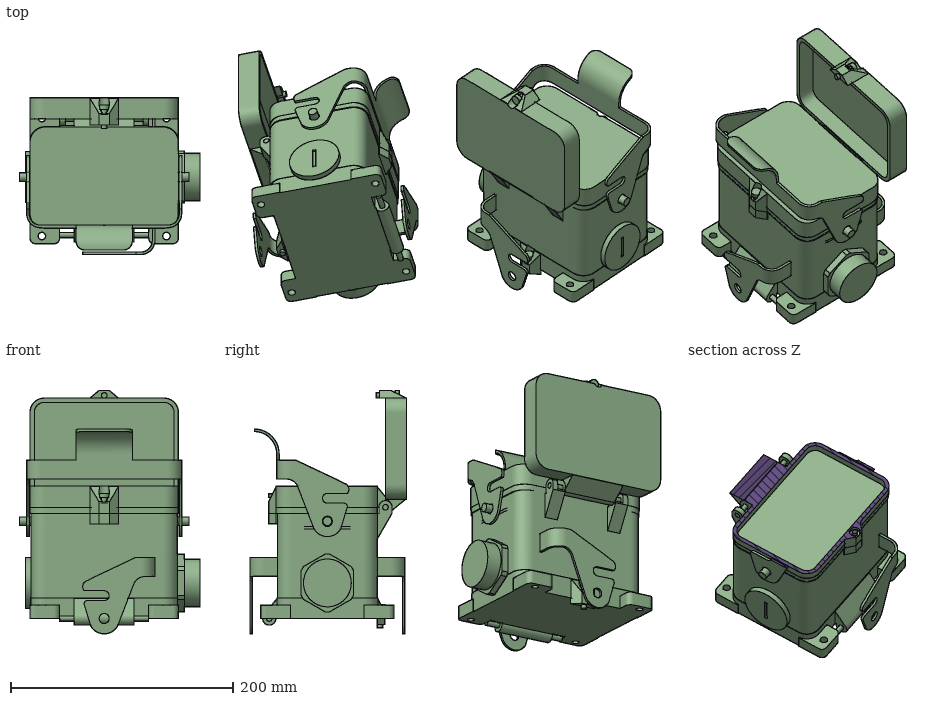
import cadquery as cq
import math

RIM_Z = 100.0

LID_WIDTH = 133.6
LID_FRONT_Y = -46.3
LID_REAR_Y = 44.8
LID_HEIGHT = 19.1
LID_WALL = 4.0
CORNER_RADIUS = 13.0

WALL_INSET = 1.0
COLLAR_HEIGHT = 5.4
SKIRT_HEIGHT = 18.6
SKIRT_STEP = 0.3
HOUSING_FRONT_Y = LID_FRONT_Y + WALL_INSET
HOUSING_REAR_Y = LID_REAR_Y
HOUSING_WIDTH = LID_WIDTH - 2 * WALL_INSET
MIDDLE_Y = (HOUSING_FRONT_Y + HOUSING_REAR_Y) / 2

FOOT_INNER_X = 40.0
FOOT_OUTER_X = LID_WIDTH / 2
FOOT_INNER_Y = 33.0
FOOT_OUTER_Y = 60.0
FOOT_HEIGHT = 12.0
FOOT_RADIUS = 5.0
FOOT_HOLE_DIAMETER = 6.5
FOOT_HOLE_X = 56.0
FOOT_HOLE_Y = 53.0

HINGE_OFFSET = 7.2
HINGE_HALF_WIDTH = 27.0
BARREL_RADIUS = 6.0
RAMP_HEIGHT = 18.2
PIN_DIAMETER = 5.0
PIN_HALF_LENGTH = FOOT_INNER_X
PIN_HOLE_DIAMETER = 5.1
LUG_STEP_X = 35.0
LUG_LEDGE_Z = 96.0
LUG_TOE_Z = 71.7

LOCK_BASE_HALF_WIDTH = 12.8
LOCK_TIP_HALF_WIDTH = 4.7
LOCK_DEPTH = 6.75
LOCK_SLOPE_TOP = 18.6
LOCK_SLOPE_BOTTOM = 5.0
LOCK_SCREW_OFFSET = 2.25
LOCK_BORE_DIAMETER = 9.2
LOCK_BORE_FLOOR = 4.0
SCREW_HEAD_DIAMETER = 9.0
SCREW_HEAD_BOTTOM = 8.6
SCREW_HEAD_TOP = 12.4
SCREW_DIAMETER = 5.0
SCREW_TIP = 3.0
SCREW_HOLE_DIAMETER = 5.1
LOCK_SEAT_BOTTOM_Z = 85.0

LEVER_HALF_SPAN = 69.75
LEVER_THICKNESS = 2.4
LEVER_BAR_REACH = 45.65
LEVER_BAR_BOTTOM = 37.8
LEVER_BAR_TOP = 55.0
LEVER_BEND_RADIUS = 12.8
LEVER_END_RADIUS = 13.84
LEVER_HOLE_DIAMETER = 9.0
LEVER_SLOT_WIDTH = 8.8
LEVER_SLOT_CENTER = 20.6
LEVER_PIVOT_Z = 87.5
PIVOT_DIAMETER = 8.0
PIVOT_END_X = 76.25
HANDLE_HALF_WIDTH = 25.3
HANDLE_CURL_START = 60.5
HANDLE_CURL_RADIUS = 22.4
HANDLE_CORNER_RADIUS = 8.0

ENTRY_Z = 32.0
PLUG_DIAMETER = 46.0
PLUG_THICKNESS = 5.0
PLUG_SLOT_LENGTH = 21.5
PLUG_SLOT_WIDTH = 2.8
PLUG_SLOT_DEPTH = 2.0
GLAND_END_X = 86.25
GLAND_DIAMETER = 43.0
NUT_ACROSS_FLATS = 47.0
NUT_ROUND_DIAMETER = 52.0
NUT_THICKNESS = 6.3


def box(x0, x1, y0, y1, z0, z1):
    return cq.Workplane("XY").box(x1 - x0, y1 - y0, z1 - z0, centered=False).translate((x0, y0, z0))


def rounded_block(width, front_y, rear_y, z0, z1, radius):
    return box(-width / 2, width / 2, front_y, rear_y, z0, z1).edges("|Z").fillet(radius)


def upright_cylinder(diameter, x, y, z0, z1):
    return cq.Workplane("XY", origin=(x, y, z0)).circle(diameter / 2).extrude(z1 - z0)


def cross_cylinder(diameter, x0, x1, y, z):
    return cq.Workplane("YZ", origin=(x0, y, z)).circle(diameter / 2).extrude(x1 - x0)


def hinge(wall_y):
    """Hinge behind a wall that faces +Y, with its axis in the plane Z = 0."""
    axis_y = wall_y + HINGE_OFFSET
    ramp_distance = math.hypot(HINGE_OFFSET, RAMP_HEIGHT)
    tangent_angle = math.atan2(RAMP_HEIGHT, -HINGE_OFFSET) - math.acos(BARREL_RADIUS / ramp_distance)
    ramp = (
        cq.Workplane("YZ", origin=(-HINGE_HALF_WIDTH, 0, 0))
        .moveTo(wall_y, 0)
        .lineTo(wall_y, RAMP_HEIGHT)
        .lineTo(
            axis_y + BARREL_RADIUS * math.cos(tangent_angle),
            BARREL_RADIUS * math.sin(tangent_angle),
        )
        .lineTo(axis_y, 0)
        .close()
        .extrude(2 * HINGE_HALF_WIDTH)
    )
    barrel = cross_cylinder(2 * BARREL_RADIUS, -HINGE_HALF_WIDTH, HINGE_HALF_WIDTH, axis_y, 0)
    pin = cross_cylinder(PIN_DIAMETER, -PIN_HALF_LENGTH, PIN_HALF_LENGTH, axis_y, 0)
    return ramp.union(barrel).union(pin)


def lock_prism(wall_y, root, z0, z1):
    """Tapered block on a wall that faces -Y, let into the wall by `root`."""
    return (
        cq.Workplane("XY", origin=(0, 0, z0))
        .polyline([
            (-LOCK_BASE_HALF_WIDTH, wall_y + root),
            (-LOCK_BASE_HALF_WIDTH, wall_y),
            (-LOCK_TIP_HALF_WIDTH, wall_y - LOCK_DEPTH),
            (LOCK_TIP_HALF_WIDTH, wall_y - LOCK_DEPTH),
            (LOCK_BASE_HALF_WIDTH, wall_y),
            (LOCK_BASE_HALF_WIDTH, wall_y + root),
        ])
        .close()
        .extrude(z1 - z0)
    )


def add_lock(body, wall_y):
    """Adds a lock block and its screw to a wall that faces -Y and stands on Z = 0."""
    side = (
        cq.Workplane("YZ", origin=(-LOCK_BASE_HALF_WIDTH, 0, 0))
        .polyline([
            (wall_y, -COLLAR_HEIGHT),
            (wall_y, LOCK_SLOPE_TOP),
            (wall_y - LOCK_DEPTH, LOCK_SLOPE_BOTTOM),
            (wall_y - LOCK_DEPTH, -COLLAR_HEIGHT),
        ])
        .close()
        .extrude(2 * LOCK_BASE_HALF_WIDTH)
    )
    block = lock_prism(wall_y, WALL_INSET, -COLLAR_HEIGHT, LOCK_SLOPE_TOP).intersect(side)
    screw_y = wall_y - LOCK_SCREW_OFFSET
    bore = upright_cylinder(LOCK_BORE_DIAMETER, 0, screw_y, LOCK_BORE_FLOOR, LID_HEIGHT)
    shank = upright_cylinder(SCREW_DIAMETER, 0, screw_y, -COLLAR_HEIGHT - SCREW_TIP, SCREW_HEAD_TOP)
    head = upright_cylinder(SCREW_HEAD_DIAMETER, 0, screw_y, SCREW_HEAD_BOTTOM, SCREW_HEAD_TOP)
    return body.union(block).cut(bore).union(shank).union(head)


def make_lid():
    """Closed lid with its rim on Z = 0, hinge at the rear and lock at the front."""
    shell = rounded_block(LID_WIDTH, LID_FRONT_Y, LID_REAR_Y, 0, LID_HEIGHT, CORNER_RADIUS)
    cavity = rounded_block(
        LID_WIDTH - 2 * LID_WALL, LID_FRONT_Y + LID_WALL, LID_REAR_Y - LID_WALL,
        0, LID_HEIGHT - LID_WALL, CORNER_RADIUS - LID_WALL,
    )
    return add_lock(shell.cut(cavity).union(hinge(LID_REAR_Y)), LID_FRONT_Y)


def lever_leg():
    """Side plate with its pivot at the origin; +X points to the hook, +Y points up."""
    slot_low = LEVER_SLOT_CENTER - LEVER_SLOT_WIDTH / 2
    slot_high = LEVER_SLOT_CENTER + LEVER_SLOT_WIDTH / 2
    slot_end = LEVER_SLOT_WIDTH / 2
    foot_x = 12.0
    foot_y = -math.sqrt(LEVER_END_RADIUS ** 2 - foot_x ** 2)
    return (
        cq.Workplane("XY")
        .moveTo(foot_x, foot_y)
        .lineTo(17.6, 11.7)
        .threePointArc((17.4, 15.0), (14.8, slot_low))
        .lineTo(0, slot_low)
        .threePointArc((-slot_end, LEVER_SLOT_CENTER), (0, slot_high))
        .lineTo(18.0, slot_high)
        .threePointArc((19.3, 28.0), (14.8, 34.2))
        .lineTo(8.8, 37.4)
        .lineTo(-28.5, LEVER_BAR_TOP)
        .lineTo(-LEVER_BAR_REACH, LEVER_BAR_TOP)
        .lineTo(-LEVER_BAR_REACH, LEVER_BAR_BOTTOM)
        .lineTo(-36.4, LEVER_BAR_BOTTOM)
        .threePointArc((-30.7, 36.0), (-26.9, 31.9))
        .lineTo(-foot_x, foot_y)
        .threePointArc((0, -LEVER_END_RADIUS), (foot_x, foot_y))
        .close()
        .moveTo(0, 0)
        .circle(LEVER_HOLE_DIAMETER / 2)
    )


def lever_handle():
    """Curled grip that rises from the cross bar and turns outward, towards -Y."""
    inner_y = -LEVER_BAR_REACH + LEVER_THICKNESS
    curl_y = inner_y - HANDLE_CURL_RADIUS
    inner_radius = HANDLE_CURL_RADIUS - LEVER_THICKNESS
    diagonal = math.sqrt(0.5)
    grip = (
        cq.Workplane("YZ", origin=(-HANDLE_HALF_WIDTH, 0, 0))
        .moveTo(inner_y, LEVER_BAR_BOTTOM)
        .lineTo(inner_y, HANDLE_CURL_START)
        .threePointArc(
            (curl_y + HANDLE_CURL_RADIUS * diagonal, HANDLE_CURL_START + HANDLE_CURL_RADIUS * diagonal),
            (curl_y, HANDLE_CURL_START + HANDLE_CURL_RADIUS),
        )
        .lineTo(curl_y, HANDLE_CURL_START + inner_radius)
        .threePointArc(
            (curl_y + inner_radius * diagonal, HANDLE_CURL_START + inner_radius * diagonal),
            (-LEVER_BAR_REACH, HANDLE_CURL_START),
        )
        .lineTo(-LEVER_BAR_REACH, LEVER_BAR_BOTTOM)
        .close()
        .extrude(2 * HANDLE_HALF_WIDTH)
    )
    outline = (
        box(-HANDLE_HALF_WIDTH, HANDLE_HALF_WIDTH, curl_y, 0, 0, HANDLE_CURL_START + HANDLE_CURL_RADIUS)
        .edges("|Z and <Y")
        .fillet(HANDLE_CORNER_RADIUS)
    )
    return grip.intersect(outline)


def make_lever():
    """U-shaped lever with its pivot axis along X through the origin and its bar at -Y."""
    rear_y = LEVER_BAR_REACH
    legs = (
        lever_leg()
        .extrude(2 * LEVER_HALF_SPAN)
        .rotate((0, 0, 0), (1, 1, 1), 120)
        .translate((-LEVER_HALF_SPAN, 0, 0))
    )
    strip = (
        box(
            -LEVER_HALF_SPAN, LEVER_HALF_SPAN, -LEVER_BAR_REACH, rear_y,
            -LEVER_END_RADIUS, LEVER_BAR_TOP,
        )
        .edges("|Z and <Y")
        .fillet(LEVER_BEND_RADIUS)
    )
    inner_x = LEVER_HALF_SPAN - LEVER_THICKNESS
    hollow = (
        box(
            -inner_x, inner_x, -LEVER_BAR_REACH + LEVER_THICKNESS, rear_y,
            -LEVER_END_RADIUS, LEVER_BAR_TOP,
        )
        .edges("|Z and <Y")
        .fillet(LEVER_BEND_RADIUS - LEVER_THICKNESS)
    )
    return legs.intersect(strip.cut(hollow)).union(lever_handle())


def foot(side_x, side_y):
    block = (
        box(FOOT_INNER_X, FOOT_OUTER_X, FOOT_INNER_Y, FOOT_OUTER_Y, 0, FOOT_HEIGHT)
        .edges("|Z and >Y")
        .fillet(FOOT_RADIUS)
    )
    hole = upright_cylinder(FOOT_HOLE_DIAMETER, FOOT_HOLE_X, FOOT_HOLE_Y, 0, FOOT_HEIGHT)
    block = block.cut(hole)
    if side_x < 0:
        block = block.mirror("YZ")
    if side_y < 0:
        block = block.mirror("XZ")
    return block.translate((0, MIDDLE_Y, 0))


def hinge_lug():
    """Lug on the rear wall, on the +X side, that carries one end of the lid hinge pin."""
    axis_y = LID_REAR_Y + HINGE_OFFSET
    inner_y = axis_y - BARREL_RADIUS
    outer_y = axis_y + BARREL_RADIUS
    root_y = LID_REAR_Y - CORNER_RADIUS
    collar_z = RIM_Z - COLLAR_HEIGHT
    lug = (
        cq.Workplane("YZ", origin=(HINGE_HALF_WIDTH, 0, 0))
        .moveTo(outer_y, RIM_Z)
        .lineTo(outer_y, collar_z)
        .lineTo(HOUSING_REAR_Y, LUG_TOE_Z)
        .lineTo(root_y, LUG_TOE_Z)
        .lineTo(root_y, collar_z)
        .lineTo(inner_y, collar_z)
        .lineTo(inner_y, RIM_Z)
        .threePointArc((axis_y, RIM_Z + BARREL_RADIUS), (outer_y, RIM_Z))
        .close()
        .moveTo(axis_y, RIM_Z)
        .circle(PIN_HOLE_DIAMETER / 2)
        .extrude(PIN_HALF_LENGTH - HINGE_HALF_WIDTH)
    )
    step = box(HINGE_HALF_WIDTH, LUG_STEP_X, inner_y, outer_y, LUG_LEDGE_Z, RIM_Z + BARREL_RADIUS)
    return lug.cut(step)


def make_housing():
    collar_z = RIM_Z - COLLAR_HEIGHT
    body = rounded_block(HOUSING_WIDTH, HOUSING_FRONT_Y, HOUSING_REAR_Y, 0, RIM_Z, CORNER_RADIUS)
    collar = rounded_block(
        LID_WIDTH, LID_FRONT_Y, LID_REAR_Y, collar_z, RIM_Z, CORNER_RADIUS + WALL_INSET,
    )
    skirt = rounded_block(
        HOUSING_WIDTH + 2 * SKIRT_STEP, HOUSING_FRONT_Y - SKIRT_STEP, HOUSING_REAR_Y + SKIRT_STEP,
        0, SKIRT_HEIGHT, CORNER_RADIUS,
    )
    body = body.union(collar).union(skirt)
    for side_x in (-1, 1):
        for side_y in (-1, 1):
            body = body.union(foot(side_x, side_y))

    body = body.rotate((0, 0, 0), (0, 0, 1), 180)
    body = add_lock(body.union(hinge(-HOUSING_FRONT_Y)), -HOUSING_REAR_Y)
    body = body.rotate((0, 0, 0), (0, 0, 1), 180)

    seat = lock_prism(LID_FRONT_Y, WALL_INSET, LOCK_SEAT_BOTTOM_Z, collar_z)
    screw_hole = upright_cylinder(
        SCREW_HOLE_DIAMETER, 0, LID_FRONT_Y - LOCK_SCREW_OFFSET, collar_z - SCREW_TIP, RIM_Z,
    )
    body = body.union(seat).cut(screw_hole)

    lug = hinge_lug()
    pivots = cross_cylinder(PIVOT_DIAMETER, -PIVOT_END_X, PIVOT_END_X, MIDDLE_Y, LEVER_PIVOT_Z)
    return body.union(lug).union(lug.mirror("YZ")).union(pivots)


def make_plug():
    wall_x = -HOUSING_WIDTH / 2
    outer_x = wall_x - PLUG_THICKNESS
    disc = cross_cylinder(PLUG_DIAMETER, outer_x, wall_x, MIDDLE_Y, ENTRY_Z)
    slot = box(
        outer_x, outer_x + PLUG_SLOT_DEPTH, MIDDLE_Y - PLUG_SLOT_WIDTH / 2, MIDDLE_Y + PLUG_SLOT_WIDTH / 2,
        ENTRY_Z - PLUG_SLOT_LENGTH / 2, ENTRY_Z + PLUG_SLOT_LENGTH / 2,
    )
    return disc.cut(slot)


def make_gland():
    wall_x = HOUSING_WIDTH / 2
    nut_end_x = wall_x + NUT_THICKNESS
    hexagon = (
        cq.Workplane("YZ", origin=(wall_x, MIDDLE_Y, ENTRY_Z))
        .polygon(6, NUT_ACROSS_FLATS, circumscribed=True)
        .extrude(NUT_THICKNESS)
    )
    nut = hexagon.intersect(cross_cylinder(NUT_ROUND_DIAMETER, wall_x, nut_end_x, MIDDLE_Y, ENTRY_Z))
    return nut.union(cross_cylinder(GLAND_DIAMETER, wall_x, GLAND_END_X, MIDDLE_Y, ENTRY_Z))


lid = make_lid()
closed_lid = lid.translate((0, 0, RIM_Z))

hinge_y = LID_REAR_Y + HINGE_OFFSET
open_lid = closed_lid.rotate((0, hinge_y, RIM_Z), (1, hinge_y, RIM_Z), -90).cut(closed_lid)

lever = make_lever()
top_lever = lever.translate((0, MIDDLE_Y, LEVER_PIVOT_Z))
base_lever = lever.rotate((0, 0, 0), (0, 0, 1), 90).translate((0, MIDDLE_Y, 0))

plug = make_plug()
gland = make_gland()
housing = make_housing().cut(base_lever).cut(plug).cut(gland)

result = cq.Compound.makeCompound([
    housing.val(),
    closed_lid.val(),
    open_lid.val(),
    top_lever.val(),
    base_lever.val(),
    plug.val(),
    gland.val(),
])